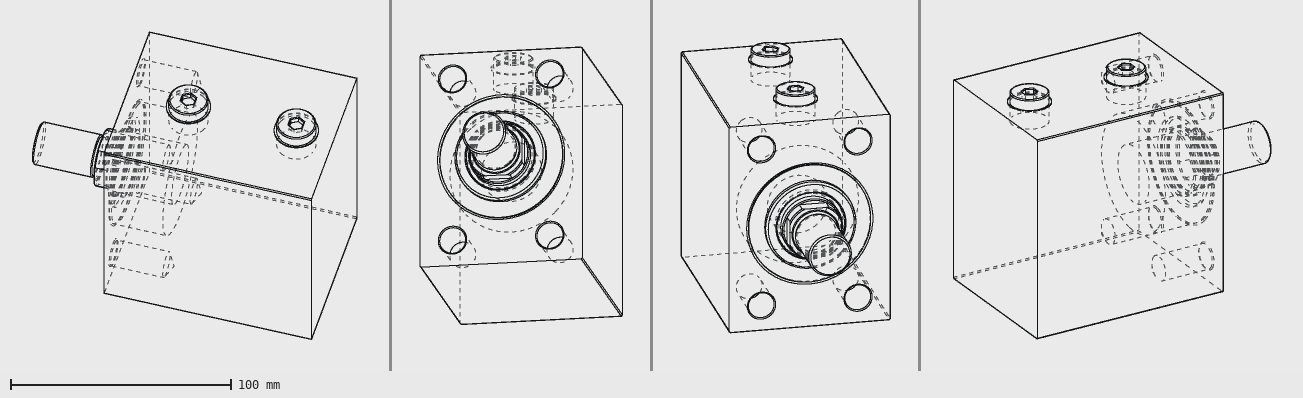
import cadquery as cq
import math


HOUSING_LENGTH = 98.0
HOUSING_WIDTH = 75.0
HOUSING_HEIGHT = 100.0
HOUSING_EDGE_CHAMFER = 0.5

MOUNT_SPACING_Y = 45.0
MOUNT_SPACING_Z = 76.0
MOUNT_DIAMETER = 12.0
MOUNT_DEPTH = 25.2
MOUNT_CHAMFER = 0.5
DRILL_TIP_ANGLE = 118.0

GLAND_RADIUS = 28.4
GLAND_DEPTH = 25.2
BORE_CHAMFER = 1.0
COLLAR_RADIUS = 21.0
COLLAR_HEIGHT = 3.0
COLLAR_CHAMFER = 1.0

WIPER_RADIUS = 15.7
WIPER_THICKNESS = 3.8
WIPER_RECESS_RADIUS = 16.2
WIPER_RECESS = 1.0

ROD_RADIUS = 14.0
ROD_EDGE_CHAMFER = 0.5
ROD_SHOULDER_AT = 6.0
WRENCH_RADIUS = ROD_RADIUS - ROD_EDGE_CHAMFER
WRENCH_FLAT_WIDTH = 23.8
WRENCH_END_AT = 12.0
BOSS_RADIUS = 11.0
BOSS_HEIGHT = 0.4
UNDERCUT_RADIUS = 9.1
THREAD_RADIUS = 10.0
THREAD_START_AT = 13.9
THREAD_END_AT = 42.0
THREAD_CHAMFER = 0.8
THREAD_RUNOUT = 0.4

PLUG_RADIUS = 9.0
PLUG_HEIGHT = 4.9
PLUG_CHAMFER = 0.5
PLUG_POSITIONS_X = (29.1, 80.1)
SPOTFACE_RADIUS = 10.1
SPOTFACE_DEPTH = 0.4
PORT_DEPTH = 9.8
HEX_FLAT_WIDTH = 6.0
HEX_RIM_CHAMFER = 0.4
HEX_DEPTH = 2.8

TOP_Z = HOUSING_HEIGHT / 2
FULL_TURN = 360
CHAMFER_ANGLE = 45


def revolve_about_x(profile):
    """Solid of revolution about X from (x, radius) points that start and end on the axis."""
    return cq.Workplane("XY").polyline(profile).close().revolve(FULL_TURN, (0, 0, 0), (1, 0, 0))


def make_mount_hole():
    """Cutter for one blind hole with a mouth chamfer and a drill-point bottom."""
    radius = MOUNT_DIAMETER / 2
    tip_length = radius / math.tan(math.radians(DRILL_TIP_ANGLE / 2))
    return revolve_about_x(
        [
            (0, 0),
            (0, radius + MOUNT_CHAMFER),
            (MOUNT_CHAMFER, radius),
            (MOUNT_DEPTH, radius),
            (MOUNT_DEPTH + tip_length, 0),
        ]
    )


def make_gland_bore():
    """Cutter for the gland seat, chamfered at the housing face."""
    return revolve_about_x(
        [
            (0, 0),
            (0, GLAND_RADIUS + BORE_CHAMFER),
            (BORE_CHAMFER, GLAND_RADIUS),
            (GLAND_DEPTH, GLAND_RADIUS),
            (GLAND_DEPTH, 0),
        ]
    )


def make_port(x):
    """Cutter for one port: a shallow spotface above the plug seat."""
    spotface = cq.Workplane("XY", origin=(x, 0, TOP_Z)).circle(SPOTFACE_RADIUS).extrude(-SPOTFACE_DEPTH)
    seat = cq.Workplane("XY", origin=(x, 0, TOP_Z)).circle(PLUG_RADIUS).extrude(-PORT_DEPTH)
    return spotface.union(seat)


def make_housing():
    """Block with chamfered long edges, the gland seat, the mounting holes and the ports."""
    block = cq.Workplane("XY").box(HOUSING_LENGTH, HOUSING_WIDTH, HOUSING_HEIGHT)
    block = block.edges("|X").chamfer(HOUSING_EDGE_CHAMFER).translate((HOUSING_LENGTH / 2, 0, 0))
    block = block.cut(make_gland_bore())
    for side_y in (-1, 1):
        for side_z in (-1, 1):
            centre = (0, side_y * MOUNT_SPACING_Y / 2, side_z * MOUNT_SPACING_Z / 2)
            block = block.cut(make_mount_hole().translate(centre))
    for x in PLUG_POSITIONS_X:
        block = block.cut(make_port(x))
    return block


def make_gland():
    """Sleeve flush with the housing face, with a smaller collar standing in front of it."""
    sleeve = revolve_about_x(
        [
            (-COLLAR_HEIGHT, 0),
            (-COLLAR_HEIGHT, COLLAR_RADIUS - COLLAR_CHAMFER),
            (COLLAR_CHAMFER - COLLAR_HEIGHT, COLLAR_RADIUS),
            (0, COLLAR_RADIUS),
            (0, GLAND_RADIUS),
            (GLAND_DEPTH, GLAND_RADIUS),
            (GLAND_DEPTH, 0),
        ]
    )
    collar_face = cq.Workplane("YZ", origin=(-COLLAR_HEIGHT, 0, 0))
    recess = collar_face.circle(WIPER_RECESS_RADIUS).extrude(WIPER_RECESS)
    wiper_seat = collar_face.circle(WIPER_RADIUS).extrude(WIPER_RECESS + WIPER_THICKNESS)
    rod_bore = collar_face.circle(ROD_RADIUS).extrude(COLLAR_HEIGHT + GLAND_DEPTH)
    return sleeve.cut(recess).cut(wiper_seat).cut(rod_bore)


def make_wiper():
    """Ring that fills the seat between the gland and the rod."""
    wiper_face = cq.Workplane("YZ", origin=(WIPER_RECESS - COLLAR_HEIGHT, 0, 0))
    return wiper_face.circle(WIPER_RADIUS).circle(ROD_RADIUS).extrude(WIPER_THICKNESS)


def make_rod():
    """Stepped rod with a threaded end, an undercut and four wrench flats."""
    blank = revolve_about_x(
        [
            (-THREAD_END_AT, 0),
            (-THREAD_END_AT, THREAD_RADIUS - THREAD_CHAMFER),
            (THREAD_CHAMFER - THREAD_END_AT, THREAD_RADIUS),
            (-THREAD_START_AT - THREAD_RUNOUT, THREAD_RADIUS),
            (-THREAD_START_AT, UNDERCUT_RADIUS),
            (-WRENCH_END_AT - BOSS_HEIGHT, UNDERCUT_RADIUS),
            (-WRENCH_END_AT - BOSS_HEIGHT, BOSS_RADIUS - BOSS_HEIGHT),
            (-WRENCH_END_AT, BOSS_RADIUS),
            (-WRENCH_END_AT, WRENCH_RADIUS - ROD_EDGE_CHAMFER),
            (ROD_EDGE_CHAMFER - WRENCH_END_AT, WRENCH_RADIUS),
            (-ROD_SHOULDER_AT, WRENCH_RADIUS),
            (ROD_EDGE_CHAMFER - ROD_SHOULDER_AT, ROD_RADIUS),
            (GLAND_DEPTH, ROD_RADIUS),
            (GLAND_DEPTH, 0),
        ]
    )
    wrench_plane = cq.Workplane("YZ", origin=(-WRENCH_END_AT, 0, 0))
    flats_cutter = (
        wrench_plane.rect(2 * ROD_RADIUS, 2 * ROD_RADIUS)
        .rect(WRENCH_FLAT_WIDTH, WRENCH_FLAT_WIDTH)
        .extrude(WRENCH_END_AT - ROD_SHOULDER_AT)
    )
    return blank.cut(flats_cutter)


def hexagon(flat_width):
    """Hexagon outline about Z with its corners on the Y axis."""
    corner_diameter = flat_width / math.cos(math.pi / 6)
    return cq.Workplane("XY").transformed(rotate=(0, 0, 90)).polygon(6, corner_diameter)


def make_plug(x):
    """Round port plug with a chamfered head and a hexagon socket whose corners point along Y."""
    body = cq.Workplane("XY", origin=(x, 0, TOP_Z - PORT_DEPTH)).circle(PLUG_RADIUS)
    body = body.extrude(PORT_DEPTH + PLUG_HEIGHT).faces(">Z").edges().chamfer(PLUG_CHAMFER)
    socket = hexagon(HEX_FLAT_WIDTH).extrude(-HEX_DEPTH)
    rim_flat_width = HEX_FLAT_WIDTH + 2 * HEX_RIM_CHAMFER
    rim = hexagon(rim_flat_width).extrude(-HEX_RIM_CHAMFER, taper=CHAMFER_ANGLE)
    socket = socket.union(rim).translate((x, 0, TOP_Z + PLUG_HEIGHT))
    return body.cut(socket)


housing = make_housing()
gland = make_gland()
wiper = make_wiper()
rod = make_rod()
plugs = [make_plug(x) for x in PLUG_POSITIONS_X]

result = cq.Compound.makeCompound(
    [housing.val(), gland.val(), wiper.val(), rod.val(), *[plug.val() for plug in plugs]]
)